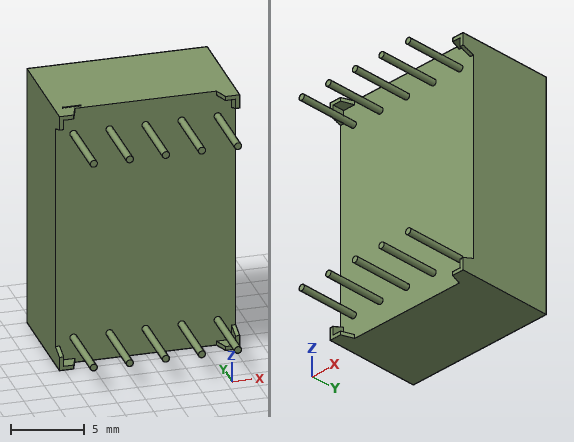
import cadquery as cq
import math

BODY_WIDTH = 12.7
BODY_DEPTH = 7.0
BODY_HEIGHT = 19.0

FOOT_HEIGHT = 1.0
FOOT_LENGTH = 1.0
FOOT_WALL = 0.3
FOOT_DRAFT_ANGLE = 20.0
FOOT_BASE_LENGTH = FOOT_LENGTH + FOOT_HEIGHT * math.tan(math.radians(FOOT_DRAFT_ANGLE))

PIN_DIAMETER = 0.5
PIN_LENGTH = 5.0
PINS_PER_ROW = 5
PIN_PITCH = 2.54
PIN_ROWS = 2
ROW_SPACING = 15.24

MARK_LENGTH = 1.3
MARK_WIDTH = 0.1
MARK_DEPTH = 0.1
MARK_SIDE_GAP = 0.6
MARK_FACE_GAP = 0.3

PIN_FACE_Y = -BODY_DEPTH / 2
HALF_WIDTH = BODY_WIDTH / 2
HALF_HEIGHT = BODY_HEIGHT / 2


def make_body():
    return cq.Workplane("XY").box(BODY_WIDTH, BODY_DEPTH, BODY_HEIGHT)


def make_foot_leg(along, normal):
    """One leg from the -X, -Z corner: square at the corner, sloping at its free end."""
    corner = (-HALF_WIDTH, PIN_FACE_Y, -HALF_HEIGHT)
    leg_plane = cq.Plane(origin=corner, xDir=along, normal=normal)
    outward = leg_plane.yDir.dot(cq.Vector(0, -1, 0)) * FOOT_HEIGHT
    return (
        cq.Workplane(leg_plane)
        .lineTo(FOOT_BASE_LENGTH, 0)
        .lineTo(FOOT_LENGTH, outward)
        .lineTo(0, outward)
        .close()
        .extrude(FOOT_WALL)
    )


def make_foot():
    """Foot of the -X, -Z corner: one leg along X and one along Z, each growing inward."""
    x_axis = (1, 0, 0)
    z_axis = (0, 0, 1)
    leg_along_x = make_foot_leg(along=x_axis, normal=z_axis)
    leg_along_z = make_foot_leg(along=z_axis, normal=x_axis)
    return leg_along_x.union(leg_along_z)


def add_feet(part):
    foot = make_foot()
    lower_feet = foot.union(foot.mirror("YZ"))
    return part.union(lower_feet).union(lower_feet.mirror("XY"))


def add_pins(part):
    pins = (
        cq.Workplane("XZ", origin=(0, PIN_FACE_Y, 0))
        .rarray(PIN_PITCH, ROW_SPACING, PINS_PER_ROW, PIN_ROWS)
        .circle(PIN_DIAMETER / 2)
        .extrude(PIN_LENGTH)
    )
    return part.union(pins)


def cut_index_mark(part):
    mark_corner = (
        -HALF_WIDTH + MARK_SIDE_GAP,
        PIN_FACE_Y + MARK_FACE_GAP,
        HALF_HEIGHT - MARK_DEPTH,
    )
    mark = cq.Workplane("XY").box(MARK_LENGTH, MARK_WIDTH, MARK_DEPTH, centered=False)
    return part.cut(mark.translate(mark_corner))


result = make_body()
result = add_feet(result)
result = add_pins(result)
result = cut_index_mark(result)